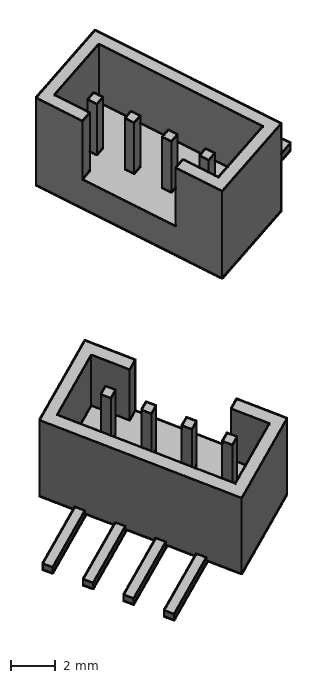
import cadquery as cq

pin_count = 4
pitch = 2.0
end_margin = 2.0
housing_length = (pin_count - 1) * pitch + 2 * end_margin
housing_depth = 4.8
housing_height = 6.0
wall = 0.6
floor_height = 2.0
slot_width = 5.0

pin_size = 0.5
pin_y = 1.8
pin_tip_z = 5.5
tail_reach = 3.4



def box(x_center, width, y_min, y_max, z_min, z_max):
    """Axis-aligned block, centred in X about x_center."""
    block = cq.Workplane("XY").box(width, y_max - y_min, z_max - z_min, centered=(True, False, False))
    return block.translate((x_center, y_min, z_min))


def make_housing():
    """Open-topped shroud with a slot through the front wall."""
    body = box(0, housing_length, 0, housing_depth, 0, housing_height)
    cavity = box(0, housing_length - 2 * wall, wall, housing_depth - wall, floor_height, housing_height)
    slot = box(0, slot_width, 0, wall, floor_height, housing_height)
    return body.cut(cavity).cut(slot)


def make_pin(x):
    """Upright contact leg joined to a tail centred on the underside plane."""
    half = pin_size / 2
    front_y = pin_y - half
    leg = box(x, pin_size, front_y, pin_y + half, -half, pin_tip_z)
    tail = box(x, pin_size, front_y, housing_depth + tail_reach, -half, half)
    return leg.union(tail)


result = make_housing()
for index in range(pin_count):
    pin_x = (index - (pin_count - 1) / 2) * pitch
    result = result.union(make_pin(pin_x))